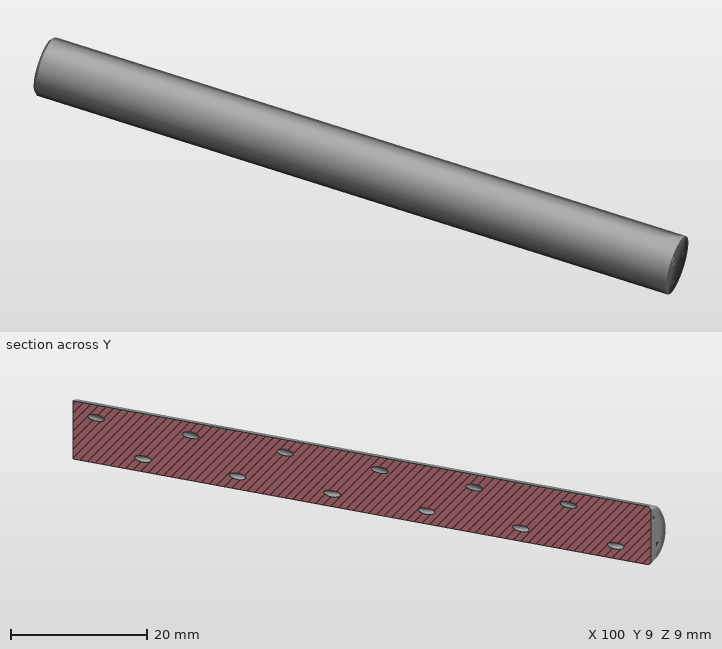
import cadquery as cq
import math

length = 100
diameter = 9
chamfer = 0.45

channel_count = 3
channel_diameter = 0.9
channel_circle_radius = 2.5
first_channel_angle = 105
helix_angle = 30

mark_diameter = 1.1
mark_height = 0.1
mark_y = -1.6
mark_z = 3

rod_length = length - mark_height
helix_pitch = math.pi * diameter / math.tan(math.radians(helix_angle))
channel_twist = 360 * rod_length / helix_pitch


def make_rod():
    """Cylinder starting at X = 0, with the rim there chamfered."""
    rod = cq.Workplane("YZ").circle(diameter / 2).extrude(rod_length)
    return rod.faces("<X").chamfer(chamfer)


def make_channel(angle):
    """Round channel that twists about the rod axis, starting at the given angle."""
    channel_y = channel_circle_radius * math.cos(math.radians(angle))
    channel_z = channel_circle_radius * math.sin(math.radians(angle))
    section = cq.Workplane("YZ").center(channel_y, channel_z).circle(channel_diameter / 2)
    axis_start = cq.Vector(0, 0, 0)
    axis_vector = cq.Vector(rod_length, 0, 0)
    return cq.Workplane(
        cq.Solid.extrudeLinearWithRotation(
            section.wires().val(), [], axis_start, axis_vector, channel_twist
        )
    )


def make_mark():
    """Low round pip on the plain end of the rod."""
    end_plane = cq.Workplane("YZ", origin=(rod_length, mark_y, mark_z))
    return end_plane.circle(mark_diameter / 2).extrude(mark_height)


result = make_rod().union(make_mark())
for index in range(channel_count):
    channel_angle = first_channel_angle + index * 360 / channel_count
    result = result.cut(make_channel(channel_angle))